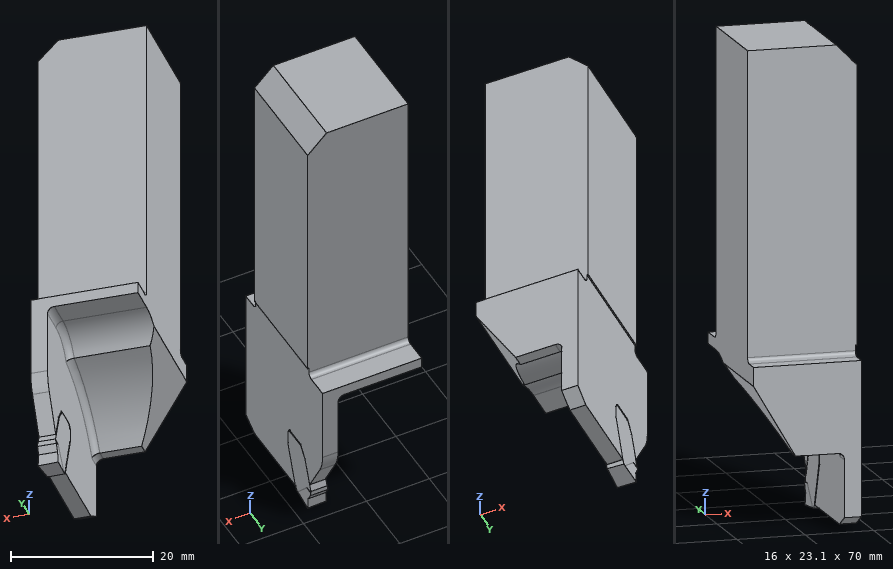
import cadquery as cq
import math


shank = 16.0
top_z = 70.0
top_chamfer = 3.0
head_y_min = -3.0
head_y_max = 20.07
head_top_z = 25.0
neck_fillet = 0.75
head_x_max = 15.8
relief_z = 26.5

blade_x_min = 13.3
blade_bottom_z = 0.95
blade_chamfer_y = 2.65
blade_chamfer_angle = math.radians(30)
flank_top_z = 11.25
flank_angle = math.radians(30)
flank_blend = 6.0

tip_y = shank
sweep_radius = 21.0
roof_z = 23.3
roof_radius = 6.2
floor_z = 11.8
pocket_fillet = 1.0

slope_top_z = 22.25
slope_depth = 6.15

insert_x_min = 13.2
insert_x_max = head_x_max
insert_top_z = 9.9
flare = 0.2
edge_rise = 0.1
heel = (12.25, 0.35)
flare_line_top = (15.4, 3.37)
flare_line_low = (12.95, 0.7)

seat_gap = 0.2
seat_top_z = insert_top_z + seat_gap


def yz_prism(points, x_min, x_max):
    """Prism along X with the given (Y, Z) outline."""
    return cq.Workplane("YZ", origin=(x_min, 0, 0)).polyline(points).close().extrude(x_max - x_min)


def make_stock():
    chamfer_z = blade_chamfer_y * math.tan(blade_chamfer_angle)
    flank_bottom_y = head_y_max - (flank_top_z - blade_bottom_z) * math.tan(flank_angle)
    head = yz_prism(
        [
            (head_y_min, head_top_z),
            (head_y_max, head_top_z),
            (head_y_max, flank_top_z),
            (flank_bottom_y, blade_bottom_z),
            (head_y_min + blade_chamfer_y, blade_bottom_z),
            (head_y_min, blade_bottom_z + chamfer_z),
        ],
        0,
        shank,
    )
    flank_corner = cq.selectors.NearestToPointSelector((shank / 2, head_y_max, flank_top_z))
    head = head.edges(flank_corner).fillet(flank_blend)
    column = cq.Workplane("XY", origin=(0, 0, head_top_z)).rect(shank, shank, centered=False)
    stock = head.union(column.extrude(top_z - head_top_z))
    for y in (0, shank):
        corner = cq.selectors.NearestToPointSelector((shank / 2, y, head_top_z))
        stock = stock.edges(corner).fillet(neck_fillet)
    return stock.edges(">Z and >X").chamfer(top_chamfer)


def make_pocket():
    margin = 6.0
    y_out = head_y_max + margin
    y_in = head_y_min - margin
    roof_center_z = roof_z - roof_radius
    meet_z = (sweep_radius**2 - roof_radius**2 + roof_center_z**2) / (2 * roof_center_z)
    meet_y = tip_y - math.sqrt(sweep_radius**2 - meet_z**2)
    floor_y = tip_y - math.sqrt(sweep_radius**2 - floor_z**2)

    roof_half = math.atan2(tip_y - meet_y, meet_z - roof_center_z) / 2
    roof_mid_y = tip_y - roof_radius * math.sin(roof_half)
    roof_mid_z = roof_center_z + roof_radius * math.cos(roof_half)
    sweep_mean = (math.atan2(tip_y - meet_y, meet_z) + math.atan2(tip_y - floor_y, floor_z)) / 2
    sweep_mid = (tip_y - sweep_radius * math.sin(sweep_mean), sweep_radius * math.cos(sweep_mean))

    pocket = (
        cq.Workplane("YZ", origin=(-margin, 0, 0))
        .moveTo(y_out, -margin)
        .lineTo(y_out, roof_z)
        .lineTo(tip_y, roof_z)
        .threePointArc((roof_mid_y, roof_mid_z), (meet_y, meet_z))
        .threePointArc(sweep_mid, (floor_y, floor_z))
        .lineTo(y_in, floor_z)
        .lineTo(y_in, -margin)
        .close()
        .extrude(blade_x_min + margin)
    )
    return pocket.faces(">X").edges().fillet(pocket_fillet)


def make_slope_cut():
    profile = [(0, slope_top_z), (slope_depth, floor_z), (0, floor_z)]
    section = cq.Workplane("XZ", origin=(0, head_y_max, 0)).polyline(profile).close()
    return section.extrude(head_y_max - head_y_min)


def make_relief_cut():
    face = cq.Workplane("XY", origin=(head_x_max, head_y_min, 0))
    return face.rect(shank - head_x_max, head_y_max - head_y_min, centered=False).extrude(relief_z)


def insert_outline(end_z):
    """(Y, Z) outline of the insert, or of its seat, with the flat upper end at end_z."""
    return [
        (tip_y, 0),
        (tip_y, 1.8),
        (16.6, 2.85),
        (16.6, 3.6),
        (14.8, 8.35),
        (13.5, end_z),
        (10.1, end_z),
        (9.65, 9.35),
        (9.65, 7.3),
        (11.9, 1.0),
        heel,
    ]


def profile_plane(x, start, end):
    """Plane square to the YZ line from start to end: local X lies along +X, the normal along the line."""
    direction = (0, end[0] - start[0], end[1] - start[1])
    return cq.Plane(origin=(x, *start), xDir=(1, 0, 0), normal=direction)


def cut_flare(blank, x, outward):
    """Trim one side of the blank to a flat that tapers out to the full flare at the tip."""
    plane = profile_plane(x, flare_line_low, flare_line_top)
    tip_reach = plane.toLocalCoords(cq.Vector(x, tip_y, 0)).y
    beyond = seat_top_z
    taper_end = (outward * flare * beyond / tip_reach, beyond)
    side_x = 2 * taper_end[0]
    waste = [(0, 0), taper_end, (side_x, beyond), (side_x, -beyond), (0, -beyond)]
    blank = blank.cut(cq.Workplane(plane).polyline(waste).close().extrude(insert_top_z, both=True))
    flat = yz_prism(
        [
            (head_y_min, flare_line_top[1]),
            (head_y_max, flare_line_top[1]),
            (head_y_max, seat_top_z),
            (head_y_min, seat_top_z),
        ],
        min(x, x + outward * flare),
        max(x, x + outward * flare),
    )
    return blank.cut(flat)


def make_insert():
    x_min = insert_x_min - flare
    x_max = insert_x_max + flare
    blank = yz_prism(insert_outline(insert_top_z), x_min, x_max)
    blank = cut_flare(blank, insert_x_min, -1)
    blank = cut_flare(blank, insert_x_max, 1)
    plane = profile_plane(x_min, (tip_y, 0), heel)
    wedge = [(0, edge_rise), (x_max - x_min, 0), (0, -edge_rise)]
    return blank.cut(cq.Workplane(plane).polyline(wedge).close().extrude(insert_top_z, both=True))


insert = make_insert()
seat = yz_prism(insert_outline(seat_top_z), blade_x_min, shank)
holder = make_stock().cut(make_pocket()).cut(make_slope_cut()).cut(make_relief_cut()).cut(seat)

result = cq.Compound.makeCompound([holder.val(), insert.val()])